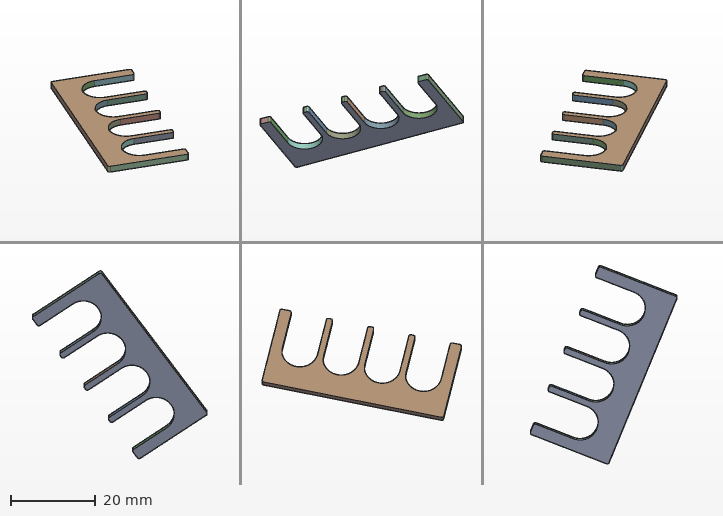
import cadquery as cq

length = 44.0
width = 20.0
thickness = 1.6
corner_radius = 0.5

slot_count = 4
slot_pitch = 10.0
slot_width = 8.5
slot_radius = slot_width / 2
slot_center_y = 0.0


def slot_cutter(x):
    """Straight slot from its round bottom out through the +Y edge."""
    return (
        cq.Workplane("XY")
        .moveTo(x - slot_radius, width)
        .lineTo(x - slot_radius, slot_center_y)
        .threePointArc((x, slot_center_y - slot_radius), (x + slot_radius, slot_center_y))
        .lineTo(x + slot_radius, width)
        .close()
        .extrude(thickness)
    )


plate = cq.Workplane("XY").box(length, width, thickness, centered=(True, True, False))
for i in range(slot_count):
    plate = plate.cut(slot_cutter((i - (slot_count - 1) / 2) * slot_pitch))

tip_edges = plate.faces(">Y").edges("|Z")
back_edges = plate.faces("<Y").edges("|Z")
result = plate.newObject(tip_edges.vals() + back_edges.vals()).fillet(corner_radius)